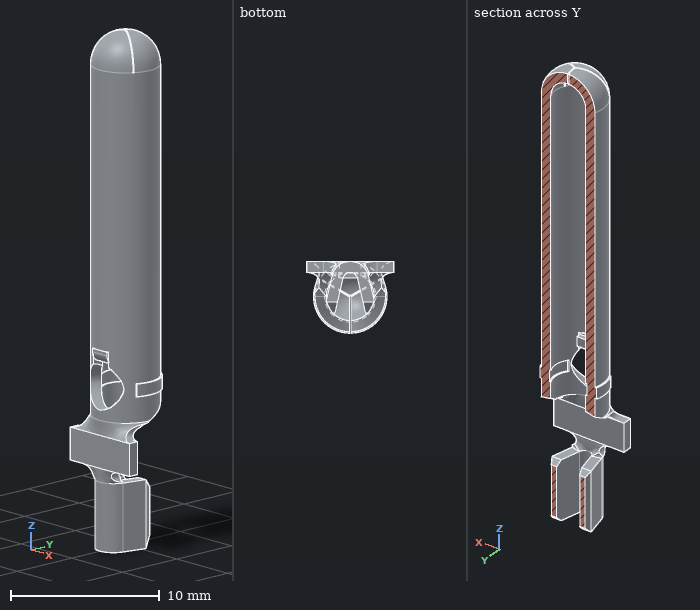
import cadquery as cq
import math


total_length = 35.9
tube_radius = 2.37
sheet = 0.75
bore_radius = tube_radius - sheet
tube_bottom = 9.1
dome_base = total_length - tube_radius
front_y = -tube_radius
seam_gap = 0.07
petal_count = 3

rear_edge_top = 10.85

band_bottom = 10.95
band_top = 11.85
band_rise = 0.1
band_front_y = -1.05

window_radius = 1.65
window_z = 11.5
tab_width = 1.45
tab_top = 14.0
tab_bend_radius = 0.7
tab_bottom = 13.03
tab_end_y = -1.25

plate_width = 5.85
plate_bottom = 5.78
plate_top = 8.08

barrel_height = 4.8
barrel_outer_radius = 1.25
barrel_inner_radius = barrel_outer_radius - sheet
wing_tilt = math.radians(13)
barrel_center_y = front_y + barrel_outer_radius
wing_tip_y = 1.1
wing_bevel = 0.75
wing_tip_thickness = 0.18

upper_neck_width = 4.15
lower_neck_width = 1.95
lower_flare_width = 3.75
neck_flare = 0.83


def cylinder(radius, bottom, top):
    return cq.Workplane("XY").workplane(offset=bottom).circle(radius).extrude(top - bottom)


def box(x_min, x_max, y_min, y_max, z_min, z_max):
    return cq.Workplane("XY").box(
        x_max - x_min, y_max - y_min, z_max - z_min, centered=False
    ).translate((x_min, y_min, z_min))


def bullet(radius):
    """Cylinder with a hemispherical top end."""
    return cylinder(radius, tube_bottom, dome_base).union(
        cq.Workplane("XY").sphere(radius).translate((0, 0, dome_base))
    )


def ruled_solid(rails):
    """Solid with four straight-ruled sides spanned between four rails that run the same way."""
    faces = [cq.Face.makeRuledSurface(rails[i - 1], rails[i]) for i in range(4)]
    for ends in ([rail.startPoint() for rail in rails], [rail.endPoint() for rail in rails]):
        first = cq.Edge.makeLine(ends[0], ends[1])
        second = cq.Edge.makeLine(ends[3], ends[2])
        faces.append(cq.Face.makeRuledSurface(first, second))
    solid = cq.Solid.makeSolid(cq.Shell.makeShell(faces))
    return cq.Workplane(solid.fix())


def rear_slope_cutter(side):
    """Removes one rear quarter below an edge that falls evenly with the angle around the tube."""
    r_in = bore_radius / 2
    r_out = tube_radius + 2 * band_rise
    floor = tube_bottom - sheet
    steps = 8

    def point(radius, fraction, z):
        angle = fraction * math.pi / 2
        return cq.Vector(side * radius * math.sin(angle), radius * math.cos(angle), z)

    def sloped_edge(radius):
        fractions = [i / steps for i in range(steps + 1)]
        drop = rear_edge_top - tube_bottom
        return cq.Edge.makeSpline([point(radius, f, rear_edge_top - drop * f) for f in fractions])

    def floor_edge(radius):
        return cq.Edge.makeThreePointArc(*[point(radius, f, floor) for f in (0, 0.5, 1)])

    return ruled_solid([sloped_edge(r_in), sloped_edge(r_out), floor_edge(r_out), floor_edge(r_in)])


def window_cutter():
    """Window that is round on the outer wall, with its rim pointing at the tube axis."""
    count = 24

    def outline(depth):
        points = []
        for i in range(count):
            turn = 2 * math.pi * i / count
            angle = math.asin(window_radius * math.cos(turn) / tube_radius)
            x = depth * math.tan(angle)
            points.append(cq.Vector(x, -depth, window_z + window_radius * math.sin(turn)))
        return cq.Wire.assembleEdges([cq.Edge.makeSpline(points, periodic=True)])

    wires = [outline(bore_radius / 4), outline(tube_radius + sheet)]
    return cq.Workplane(cq.Solid.makeLoft(wires, True))


def band_disc(radius):
    """Disc at the height of the band, cut off toward the front."""
    reach = 2 * tube_radius
    disc = cylinder(radius, band_bottom, band_top)
    return disc.intersect(box(-reach, reach, band_front_y, reach, band_bottom, band_top))


def locking_tab():
    """Flat tongue bent a quarter turn into the tube."""
    bend_middle = tab_bend_radius * (1 - math.sqrt(0.5))
    return (
        cq.Workplane("YZ")
        .moveTo(front_y, tab_top)
        .lineTo(front_y, tab_bottom + tab_bend_radius)
        .threePointArc(
            (front_y + bend_middle, tab_bottom + bend_middle),
            (front_y + tab_bend_radius, tab_bottom),
        )
        .lineTo(tab_end_y, tab_bottom)
        .lineTo(tab_end_y, tab_bottom + sheet)
        .lineTo(front_y + sheet, tab_bottom + sheet)
        .lineTo(front_y + sheet, tab_top)
        .close()
        .extrude(tab_width / 2, both=True)
    )


def tube():
    bore = bullet(bore_radius).union(band_disc(bore_radius + band_rise))
    lower_end = cylinder(2 * tube_radius, 0, tube_bottom)
    body = bullet(tube_radius).union(band_disc(tube_radius + band_rise)).cut(bore).cut(lower_end)
    for side in (-1, 1):
        body = body.cut(rear_slope_cutter(side))
    reach = 2 * tube_radius
    half_gap = seam_gap / 2
    body = body.cut(box(-half_gap, half_gap, 0, reach, 0, total_length))
    petal_slit = box(-half_gap, half_gap, 0, reach, dome_base, total_length)
    for i in range(1, petal_count):
        body = body.cut(petal_slit.rotate((0, 0, 0), (0, 0, 1), i * 360 / petal_count))
    half_tab = tab_width / 2
    body = body.cut(window_cutter())
    body = body.cut(box(-half_tab, half_tab, -reach, -bore_radius / 2, window_z, tab_top))
    return body.union(locking_tab())


def trough_to_plate(outer_radius, inner_radius, half_angle, trough_z, width, plate_z):
    """Transition from a round trough, open toward +Y, to the flat sheet on the front plane."""
    center_y = front_y + outer_radius

    def arc(radius):
        angles = (-half_angle, 0, half_angle)
        points = [(radius * math.sin(a), center_y - radius * math.cos(a), trough_z) for a in angles]
        return cq.Edge.makeThreePointArc(*[cq.Vector(*p) for p in points])

    def flat_edge(y):
        return cq.Edge.makeLine(cq.Vector(-width / 2, y, plate_z), cq.Vector(width / 2, y, plate_z))

    rails = [arc(outer_radius), arc(inner_radius), flat_edge(front_y + sheet), flat_edge(front_y)]
    return ruled_solid(rails)


def neck_notches(neck_width, bottom, top):
    """Rounded notches on both sides that narrow a transition to the neck width."""
    half_height = (top - bottom) / 2
    middle = (top + bottom) / 2
    center_x = neck_width / 2 + neck_flare
    depth = 2 * tube_radius
    pair = None
    for side in (-1, 1):
        notch = (
            cq.Workplane("XZ").center(side * center_x, middle).ellipse(neck_flare, half_height)
            .extrude(depth, both=True)
        )
        outside = sorted((side * center_x, side * (center_x + plate_width)))
        notch = notch.union(box(outside[0], outside[1], -depth, depth, bottom, top))
        pair = notch if pair is None else pair.union(notch)
    return pair


def wing_start(radius):
    """Point where the straight wing face leaves the given bend radius."""
    return (radius * math.cos(wing_tilt), barrel_center_y - radius * math.sin(wing_tilt))


def wing_point(radius, y):
    """Point at height y on the straight wing face that is tangent to the given bend radius."""
    start_x, start_y = wing_start(radius)
    return (start_x + (y - start_y) * math.tan(wing_tilt), y)


def mirrored(point):
    return (-point[0], point[1])


def crimp_barrel():
    outer_start = wing_start(barrel_outer_radius)
    inner_start = wing_start(barrel_inner_radius)
    outer_end = wing_point(barrel_outer_radius, wing_tip_y - wing_bevel)
    inner_end = wing_point(barrel_inner_radius, wing_tip_y)
    tip = (inner_end[0] + wing_tip_thickness, wing_tip_y)
    body = (
        cq.Workplane("XY")
        .moveTo(*mirrored(outer_start))
        .threePointArc((0, front_y), outer_start)
        .lineTo(*outer_end)
        .lineTo(*tip)
        .lineTo(*inner_end)
        .lineTo(*inner_start)
        .threePointArc((0, front_y + sheet), mirrored(inner_start))
        .lineTo(*mirrored(inner_end))
        .lineTo(*mirrored(tip))
        .lineTo(*mirrored(outer_end))
        .close()
        .extrude(barrel_height)
    )
    side_outline = (
        cq.Workplane("YZ")
        .moveTo(front_y, 0)
        .lineTo(wing_tip_y - wing_bevel, 0)
        .lineTo(wing_tip_y, wing_bevel)
        .lineTo(wing_tip_y, barrel_height - wing_bevel)
        .lineTo(wing_tip_y - wing_bevel, barrel_height)
        .lineTo(front_y, barrel_height)
        .close()
        .extrude(plate_width, both=True)
    )
    return body.intersect(side_outline)


half_plate = plate_width / 2
plate = box(-half_plate, half_plate, front_y, front_y + sheet, plate_bottom, plate_top)

upper_neck = trough_to_plate(
    tube_radius, bore_radius, math.pi / 2, tube_bottom, plate_width, plate_top
).cut(neck_notches(upper_neck_width, plate_top, tube_bottom))

lower_neck = trough_to_plate(
    barrel_outer_radius, barrel_inner_radius, math.pi / 2 - wing_tilt, barrel_height,
    lower_flare_width, plate_bottom,
).cut(neck_notches(lower_neck_width, barrel_height, plate_bottom))

result = crimp_barrel().union(lower_neck).union(plate).union(upper_neck).union(tube())